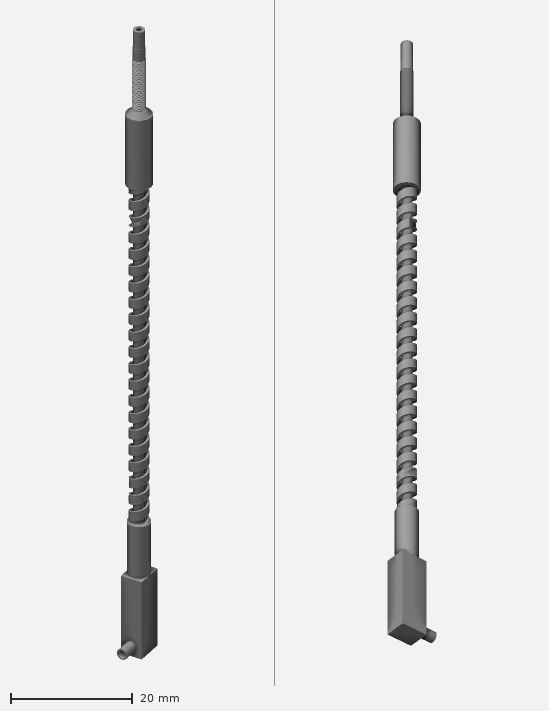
import cadquery as cq
block_width = 4.0
block_depth = 5.0
block_height = 15.0
neck_diameter = 4.0
neck_height = 10.0
neck_top = block_height + neck_height

pin_diameter = 2.0
pin_reach = 3.0
pin_height = 1.97
pin_bore_diameter = 1.5
pin_bore_depth = 2.0

coil_diameter = 3.4
coil_length = 65.6
coil_top = neck_top + coil_length
coil_pitch = 3.175
coil_gap = 1.4
coil_turn = 78.0
wire_thickness = 0.4
wire_width = coil_pitch - coil_gap

core_diameter = 1.9

overall_height = 120.54
sleeve_diameter = 4.6
sleeve_length = 13.6
cone_base_diameter = 4.2
cone_top_diameter = 2.6
cone_height = 0.9
thread_diameter = 2.25
thread_root_diameter = 2.0
thread_pitch = 0.25
thread_count = 39
shank_diameter = 2.1
shank_length = 2.35
tip_diameter = 2.0
tip_bore_diameter = 1.0
tip_bore_depth = 2.0
sleeve_top = coil_top + sleeve_length
thread_bottom = sleeve_top + cone_height
thread_top = thread_bottom + thread_count * thread_pitch
shank_top = thread_top + shank_length


def make_block():
    block = cq.Workplane("XY").box(block_width, block_depth, block_height, centered=(True, True, False))
    block = block.faces(">Z").workplane().circle(neck_diameter / 2).extrude(neck_height)
    pin_base = cq.Workplane("XZ", origin=(0, -block_depth / 2, pin_height))
    pin_end = cq.Workplane("XZ", origin=(0, -block_depth / 2 - pin_reach, pin_height))
    pin = pin_base.circle(pin_diameter / 2).extrude(pin_reach)
    pin_bore = pin_end.circle(pin_bore_diameter / 2).extrude(-pin_bore_depth)
    return block.union(pin).cut(pin_bore)


def make_coil():
    """Flat wire wound past both ends, then cut off square so that the ends sit flat."""
    wire_radius = (coil_diameter - wire_thickness) / 2
    winding_bottom = neck_top - coil_pitch
    winding_length = coil_length + 2 * coil_pitch
    helix = cq.Wire.makeHelix(coil_pitch, winding_length, wire_radius, center=cq.Vector(0, 0, winding_bottom))
    winding = (
        cq.Workplane("XZ", origin=(wire_radius, 0, winding_bottom))
        .rect(wire_thickness, wire_width)
        .sweep(cq.Workplane(helix), isFrenet=True)
        .rotate((0, 0, 0), (0, 0, 1), coil_turn)
    )
    envelope = cq.Workplane("XY", origin=(0, 0, neck_top)).circle(coil_diameter).extrude(coil_length)
    return winding.intersect(envelope)


def make_core():
    return cq.Workplane("XY", origin=(0, 0, neck_top)).circle(core_diameter / 2).extrude(coil_length)


def make_fitting():
    """Turned piece: half profile in the XZ plane, revolved about Z."""
    profile = (
        cq.Workplane("XZ")
        .moveTo(0, coil_top)
        .lineTo(sleeve_diameter / 2, coil_top)
        .lineTo(sleeve_diameter / 2, sleeve_top)
        .lineTo(cone_base_diameter / 2, sleeve_top)
        .lineTo(cone_top_diameter / 2, thread_bottom)
        .lineTo(thread_root_diameter / 2, thread_bottom)
    )
    for turn in range(thread_count):
        root_height = thread_bottom + turn * thread_pitch
        profile = profile.lineTo(thread_diameter / 2, root_height + thread_pitch / 2)
        profile = profile.lineTo(thread_root_diameter / 2, root_height + thread_pitch)
    return (
        profile.lineTo(shank_diameter / 2, thread_top)
        .lineTo(shank_diameter / 2, shank_top)
        .lineTo(tip_diameter / 2, shank_top)
        .lineTo(tip_diameter / 2, overall_height)
        .lineTo(tip_bore_diameter / 2, overall_height)
        .lineTo(tip_bore_diameter / 2, overall_height - tip_bore_depth)
        .lineTo(0, overall_height - tip_bore_depth)
        .close()
        .revolve(360, (0, 0, 0), (0, 1, 0))
    )


block = make_block()
coil = make_coil()
core = make_core()
fitting = make_fitting()

result = cq.Compound.makeCompound([block.val(), coil.val(), core.val(), fitting.val()])